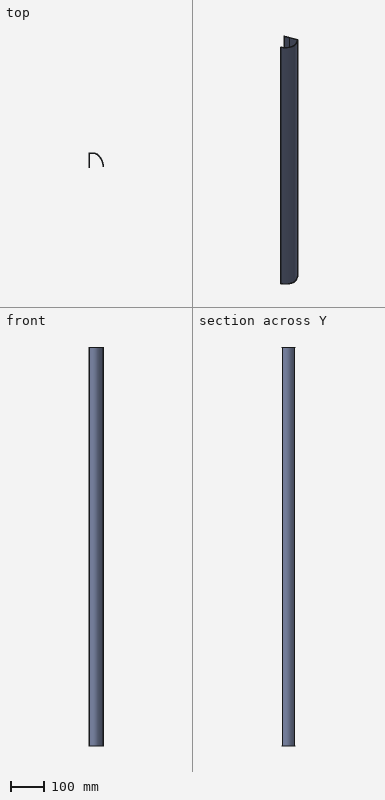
import cadquery as cq
import math

width = 43.07
depth = 43.5
length = 1200.0
wall = 1.2

corner_radius = 1.5
flange_width = 12.5
crown_radius = 21.5
crown_angle = math.radians(41.5)
arm_end_angle = math.radians(89)

groove_y = 17.0
groove_width = 0.6
groove_depth = 0.3


def on_arc(center, radius, angle):
    """Point on a circle, with the angle measured clockwise from +Y."""
    return (
        center[0] + radius * math.sin(angle),
        center[1] + radius * math.cos(angle),
    )


crown_center = (flange_width, depth - crown_radius)
crown_end = on_arc(crown_center, crown_radius, crown_angle)
arm_radius = (width - crown_end[0]) / (math.sin(arm_end_angle) - math.sin(crown_angle))
arm_center = on_arc(crown_end, -arm_radius, crown_angle)

crown_inner_radius = crown_radius - wall
arm_inner_radius = arm_radius - wall
flange_inner_y = depth - wall
crown_mid_angle = crown_angle / 2
arm_mid_angle = (crown_angle + arm_end_angle) / 2
tip_radius = wall / 2


def build_profile():
    """Closed outline: up the leg, out along the outer skin and back along the inner one."""
    outer = (
        cq.Workplane("XY")
        .moveTo(0, tip_radius)
        .lineTo(0, depth - corner_radius)
        .radiusArc((corner_radius, depth), corner_radius)
        .lineTo(flange_width, depth)
        .threePointArc(on_arc(crown_center, crown_radius, crown_mid_angle), crown_end)
        .threePointArc(
            on_arc(arm_center, arm_radius, arm_mid_angle),
            on_arc(arm_center, arm_radius, arm_end_angle),
        )
    )
    return (
        outer.lineTo(*on_arc(arm_center, arm_inner_radius, arm_end_angle))
        .threePointArc(
            on_arc(arm_center, arm_inner_radius, arm_mid_angle),
            on_arc(arm_center, arm_inner_radius, crown_angle),
        )
        .threePointArc(
            on_arc(crown_center, crown_inner_radius, crown_mid_angle),
            (flange_width, flange_inner_y),
        )
        .lineTo(wall, flange_inner_y)
        .lineTo(wall, tip_radius)
        .threePointArc((tip_radius, 0), (0, tip_radius))
        .close()
    )


def build_groove_profile():
    """Triangle with its base on the leg's outer face and its point inside the wall."""
    return (
        cq.Workplane("XY")
        .moveTo(0, groove_y - groove_width / 2)
        .lineTo(groove_depth, groove_y)
        .lineTo(0, groove_y + groove_width / 2)
        .close()
    )


body = build_profile().extrude(length)
groove = build_groove_profile().extrude(length)
result = body.cut(groove)